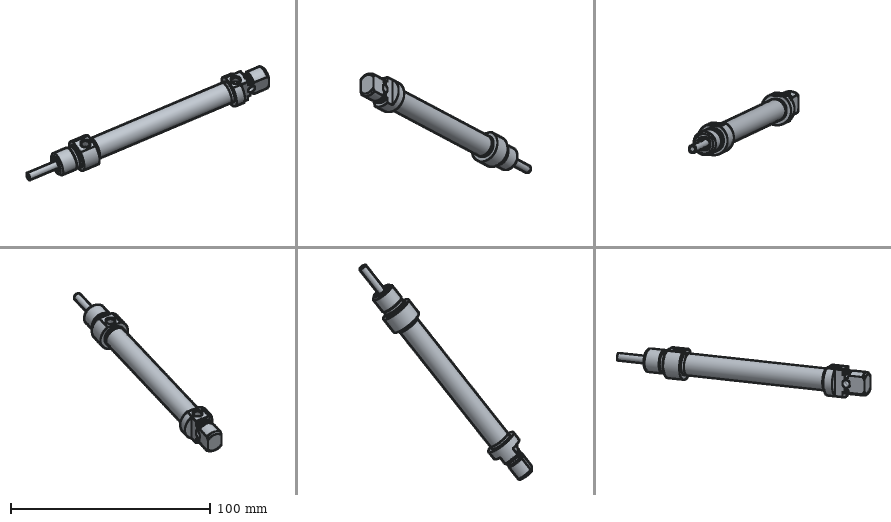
import cadquery as cq
import math


BODY_LENGTH = 120.0
HALF_BODY = BODY_LENGTH / 2
NECK_LENGTH = 12.0
COLLAR_LENGTH = 8.7
SKIRT_LENGTH = 1.6
ROD_PROJECTION = 16.0

COLLAR_END = HALF_BODY - NECK_LENGTH
COLLAR_START = COLLAR_END - COLLAR_LENGTH
BARREL_END = COLLAR_START - SKIRT_LENGTH

BARREL_DIAMETER = 11.2
SKIRT_DIAMETER = 11.27
COLLAR_DIAMETER = 16.0
NECK_DIAMETER = 12.0
REAR_GROOVE_DIAMETER = 10.0
FRONT_GROOVE_DIAMETER = 11.2
ROD_DIAMETER = 4.0

NECK_CHAMFER = 1.0
NECK_LAND = 1.2
GROOVE_LENGTH = 2.1
GROOVE_RAMP = 0.4

COLLAR_FLAT_HEIGHT = 7.0
PORT_DIAMETER = 4.13
PORT_COUNTERSINK_DIAMETER = 5.2
PORT_OFFSET = 5.0
PORT_POSITION = COLLAR_END - PORT_OFFSET
REAR_PORT_DEPTH = 3.5
DRILL_POINT_ANGLE = 118.0

TONGUE_THICKNESS = 8.0
TONGUE_LENGTH = 16.0
TONGUE_HOLE_DIAMETER = 4.0
TONGUE_HOLE_OFFSET = 10.0

RECESS_MOUTH_DIAMETER = 7.1
RECESS_BORE_DIAMETER = 6.6
RECESS_THROAT_DIAMETER = 4.7
RECESS_CLEARANCE_DIAMETER = 4.43
RECESS_EDGE_DEPTH = 0.25
RECESS_BORE_DEPTH = 0.5
RECESS_CONE_DEPTH = 2.0
RECESS_DEPTH = 2.5

ROD_TIP_DIAMETER = 3.0
ROD_TIP_CHAMFER_LENGTH = 0.25


def cylinder_along_y(diameter, start, end):
    """Cylinder on the Y axis between two Y positions."""
    return cq.Workplane("XZ", origin=(0, start, 0)).circle(diameter / 2).extrude(start - end)


def end_cap_blank(groove_diameter):
    """Turned cap pointing to +Y: skirt, flattened collar, land, groove and neck."""
    groove_start = COLLAR_END + NECK_LAND
    ramp_end = groove_start + GROOVE_LENGTH
    ramp_start = ramp_end - GROOVE_RAMP
    neck_radius = NECK_DIAMETER / 2
    profile = [
        (0, BARREL_END),
        (SKIRT_DIAMETER / 2, BARREL_END),
        (SKIRT_DIAMETER / 2, COLLAR_START),
        (COLLAR_DIAMETER / 2, COLLAR_START),
        (COLLAR_DIAMETER / 2, COLLAR_END),
        (neck_radius, COLLAR_END),
        (neck_radius, groove_start),
        (groove_diameter / 2, groove_start),
        (groove_diameter / 2, ramp_start),
        (neck_radius, ramp_end),
        (neck_radius, HALF_BODY - NECK_CHAMFER),
        (neck_radius - NECK_CHAMFER, HALF_BODY),
        (0, HALF_BODY),
    ]
    blank = cq.Workplane("XY").polyline(profile).close().revolve(360, (0, 0, 0), (0, 1, 0))
    above_flat = cq.Workplane("XY").box(
        COLLAR_DIAMETER, BODY_LENGTH, COLLAR_DIAMETER, centered=(True, False, False)
    ).translate((0, 0, COLLAR_FLAT_HEIGHT))
    return blank.cut(above_flat)


def port_cutter(position, depth):
    """Drilled port going down from the collar flat: countersink, bore and drill point."""
    bore_radius = PORT_DIAMETER / 2
    sink_radius = PORT_COUNTERSINK_DIAMETER / 2
    point_length = bore_radius / math.tan(math.radians(DRILL_POINT_ANGLE / 2))
    profile = [
        (0, 0),
        (sink_radius, 0),
        (bore_radius, bore_radius - sink_radius),
        (bore_radius, -depth),
        (0, -depth - point_length),
    ]
    cutter = cq.Workplane("XZ").polyline(profile).close().revolve(360, (0, 0, 0), (0, 1, 0))
    return cutter.translate((0, position, COLLAR_FLAT_HEIGHT))


def make_barrel():
    return cylinder_along_y(BARREL_DIAMETER, -BARREL_END, BARREL_END)


def make_rear_cap():
    cap = end_cap_blank(REAR_GROOVE_DIAMETER)
    tongue_start = HALF_BODY - TONGUE_LENGTH
    for side in (-1, 1):
        beside_tongue = cq.Workplane("XY").box(
            COLLAR_DIAMETER, TONGUE_LENGTH, 2 * COLLAR_DIAMETER, centered=(True, False, True)
        ).translate((side * (TONGUE_THICKNESS + COLLAR_DIAMETER) / 2, tongue_start, 0))
        cap = cap.cut(beside_tongue)
    cross_hole = (
        cq.Workplane("YZ")
        .center(HALF_BODY - TONGUE_HOLE_OFFSET, 0)
        .circle(TONGUE_HOLE_DIAMETER / 2)
        .extrude(COLLAR_DIAMETER / 2, both=True)
    )
    return cap.cut(cross_hole).cut(port_cutter(PORT_POSITION, REAR_PORT_DEPTH))


def wiper_recess_cutter():
    """Turned recess entering the nose face toward +Y."""
    profile = [
        (0, 0),
        (RECESS_MOUTH_DIAMETER / 2, 0),
        (RECESS_BORE_DIAMETER / 2, RECESS_EDGE_DEPTH),
        (RECESS_BORE_DIAMETER / 2, RECESS_BORE_DEPTH),
        (RECESS_THROAT_DIAMETER / 2, RECESS_CONE_DEPTH),
        (RECESS_CLEARANCE_DIAMETER / 2, RECESS_CONE_DEPTH),
        (RECESS_CLEARANCE_DIAMETER / 2, RECESS_DEPTH),
        (0, RECESS_DEPTH),
    ]
    cutter = cq.Workplane("XY").polyline(profile).close().revolve(360, (0, 0, 0), (0, 1, 0))
    return cutter.translate((0, -HALF_BODY, 0))


def make_front_cap():
    cap = end_cap_blank(FRONT_GROOVE_DIAMETER).mirror("XZ")
    rod_bore = cylinder_along_y(ROD_DIAMETER, -HALF_BODY, -BARREL_END)
    front_port_depth = COLLAR_FLAT_HEIGHT - ROD_DIAMETER / 2
    port = port_cutter(-PORT_POSITION, front_port_depth)
    return cap.cut(rod_bore).cut(wiper_recess_cutter()).cut(port)


def make_rod():
    rod_tip = -HALF_BODY - ROD_PROJECTION
    rod = cylinder_along_y(ROD_DIAMETER, rod_tip, -BARREL_END)
    tip_chamfer_width = (ROD_DIAMETER - ROD_TIP_DIAMETER) / 2
    return rod.faces("<Y").chamfer(ROD_TIP_CHAMFER_LENGTH, tip_chamfer_width)


barrel = make_barrel()
rear_cap = make_rear_cap()
front_cap = make_front_cap()
rod = make_rod()

result = cq.Compound.makeCompound([barrel.val(), rear_cap.val(), front_cap.val(), rod.val()])